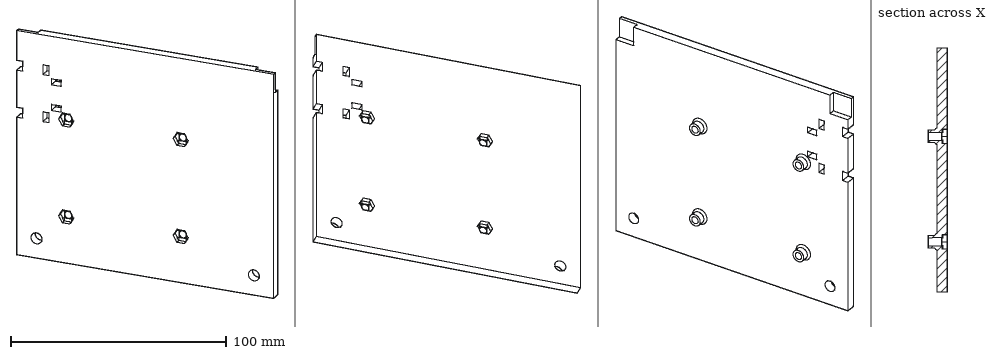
import cadquery as cq
import math

plate_width = 130.0
plate_height = 113.5
plate_thickness = 5.0

rebate_size = 10.0
rebate_tongue = 2.0

mount_hole_diameter = 5.5
mount_hole_inset = 10.0

slot_length = 5.0
slot_width = 3.0
slot_group_height = 84.0
upright_slot_left_x = 13.3
upright_slot_spacing = 23.8
flat_slot_left_x = 17.5
flat_slot_spacing = 13.0

standoff_length = 4.0
standoff_diameter = 6.0
standoff_left_x = 25.0
standoff_bottom_z = 23.4
standoff_spacing_x = 58.0
standoff_spacing_z = 49.0
base_chamfer = 1.0
bore_diameter = 3.5

nut_across_flats = 6.5
nut_across_corners = nut_across_flats / math.cos(math.pi / 6)
nut_depth = 2.1
step_depth = 0.32

back_y = plate_thickness
upright_slot_center_x = upright_slot_left_x + slot_width / 2
flat_slot_center_x = flat_slot_left_x + slot_length / 2
total_depth = plate_thickness + standoff_length
standoff_centers = [
    (standoff_left_x + column * standoff_spacing_x, standoff_bottom_z + row * standoff_spacing_z)
    for column in range(2)
    for row in range(2)
]


def block(center_x, center_z, size_x, size_z, start_y, depth):
    """Rectangular block centred on a point of the plate, running toward +Y."""
    return cq.Workplane("XY").box(size_x, depth, size_z, centered=(True, False, True)).translate(
        (center_x, start_y, center_z)
    )


def plane_at(center, y):
    """Workplane parallel to the plate whose extrusions run toward +Y."""
    origin = (center[0], y, center[1])
    return cq.Workplane(cq.Plane(origin=origin, xDir=(1, 0, 0), normal=(0, 1, 0)))


def cylinder(center, diameter, start_y, depth):
    return plane_at(center, start_y).circle(diameter / 2).extrude(depth)


def standoff(center):
    """Round post with a conical base."""
    post = cylinder(center, standoff_diameter, 0, total_depth)
    post_radius = standoff_diameter / 2
    base = cq.Solid.makeCone(
        post_radius + base_chamfer,
        post_radius,
        base_chamfer,
        pnt=cq.Vector(center[0], back_y, center[1]),
        dir=cq.Vector(0, 1, 0),
    )
    return post.union(cq.Workplane(base))


def nut_pocket(center):
    """Hexagonal recess, a cross of shallow slots clipped to the hexagon, and a square."""
    hexagon = plane_at(center, 0).polygon(6, nut_across_corners).extrude(nut_depth)
    step_hexagon = plane_at(center, nut_depth).polygon(6, nut_across_corners).extrude(step_depth)
    across = block(*center, nut_across_corners, bore_diameter, nut_depth, step_depth)
    upright = block(*center, bore_diameter, nut_across_corners, nut_depth, step_depth)
    cross = step_hexagon.intersect(across.union(upright))
    square = block(*center, bore_diameter, bore_diameter, nut_depth, 2 * step_depth)
    return hexagon.union(cross).union(square)


result = block(plate_width / 2, plate_height / 2, plate_width, plate_height, 0, plate_thickness)

for corner_x in (rebate_size / 2, plate_width - rebate_size / 2):
    corner_z = plate_height - rebate_size / 2
    result = result.cut(
        block(corner_x, corner_z, rebate_size, rebate_size, rebate_tongue, plate_thickness)
    )

for hole_x in (mount_hole_inset, plate_width - mount_hole_inset):
    hole_center = (hole_x, mount_hole_inset)
    result = result.cut(cylinder(hole_center, mount_hole_diameter, 0, plate_thickness))

for side in (-1, 1):
    upright_z = slot_group_height + side * upright_slot_spacing / 2
    flat_z = slot_group_height + side * flat_slot_spacing / 2
    for opening in (
        block(0, upright_z, 2 * slot_width, slot_length, 0, plate_thickness),
        block(upright_slot_center_x, upright_z, slot_width, slot_length, 0, plate_thickness),
        block(flat_slot_center_x, flat_z, slot_length, slot_width, 0, plate_thickness),
    ):
        result = result.cut(opening)

for center in standoff_centers:
    result = result.union(standoff(center))
    result = result.cut(cylinder(center, bore_diameter, 0, total_depth))
    result = result.cut(nut_pocket(center))